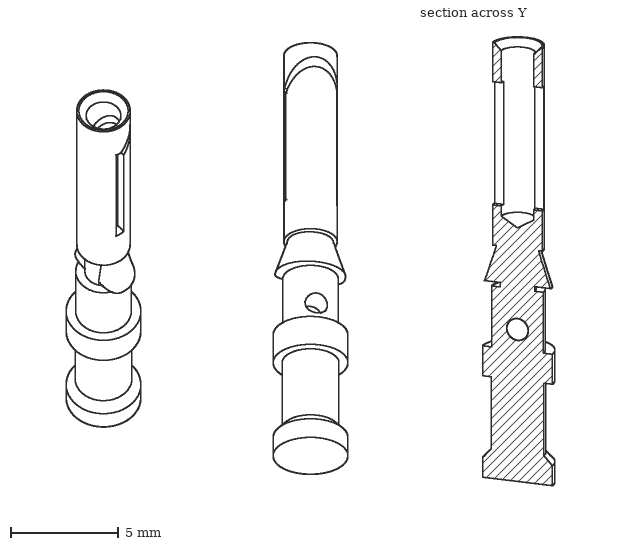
import cadquery as cq
import math

BASE_RIM_TOP = 1.0
BASE_CONE_TOP = 1.45
COLLAR_BOTTOM = 5.0
COLLAR_TOP = 6.5
BODY_TOP = 9.5
CLIP_BOTTOM = 9.7
NECK_TOP = 11.5
TOTAL_LENGTH = 21.5

FLANGE_RADIUS = 1.75
CRIMP_BARREL_RADIUS = 1.33
BODY_RADIUS = 1.3
NECK_RADIUS = 0.87
SOCKET_RADIUS = 1.25

BORE_RADIUS = 0.81
BORE_FLOOR = 13.0
DRILL_POINT_ANGLE = 118.0
LEAD_IN_RADIUS = 1.15
LEAD_IN_DEPTH = 0.35

SLOT_WIDTH = 0.45
SLOT_BOTTOM = 13.5
SLOT_TOP = 19.55
SLANT_RISE = 0.52
SLANT_UPPER_EXIT = 20.75

CLIP_TOP_HALF_X = 1.07
CLIP_TOP_BACK_Y = 0.95
CLIP_TOP_FLAT_Y = -0.62
CLIP_BOTTOM_HALF_X = 1.66
CLIP_BOTTOM_BACK_Y = 1.33
CLIP_BOTTOM_FLAT_Y = -0.71
CLIP_FLAT_EXPONENT = 3.5
CLIP_OUTLINE_STEPS = 24

INSPECTION_RADIUS = 0.53
INSPECTION_HEIGHT = 7.5

CUT_MARGIN = 1.0


def turned_body():
    """Revolve the stepped outer profile about the Z axis."""
    profile = [
        (0, 0),
        (FLANGE_RADIUS, 0),
        (FLANGE_RADIUS, BASE_RIM_TOP),
        (CRIMP_BARREL_RADIUS, BASE_CONE_TOP),
        (CRIMP_BARREL_RADIUS, COLLAR_BOTTOM),
        (FLANGE_RADIUS, COLLAR_BOTTOM),
        (FLANGE_RADIUS, COLLAR_TOP),
        (BODY_RADIUS, COLLAR_TOP),
        (BODY_RADIUS, BODY_TOP),
        (NECK_RADIUS, BODY_TOP),
        (NECK_RADIUS, NECK_TOP),
        (SOCKET_RADIUS, NECK_TOP),
        (SOCKET_RADIUS, TOTAL_LENGTH),
        (0, TOTAL_LENGTH),
    ]
    return cq.Workplane("XZ").polyline(profile).close().revolve(360, (0, 0), (0, 1))


def socket_bore():
    """Cutter for the bore, its lead-in cone and its drill point."""
    point_depth = BORE_RADIUS / math.tan(math.radians(DRILL_POINT_ANGLE / 2))
    profile = [
        (0, BORE_FLOOR - point_depth),
        (BORE_RADIUS, BORE_FLOOR),
        (BORE_RADIUS, TOTAL_LENGTH - LEAD_IN_DEPTH),
        (LEAD_IN_RADIUS, TOTAL_LENGTH),
        (0, TOTAL_LENGTH),
    ]
    return cq.Workplane("XZ").polyline(profile).close().revolve(360, (0, 0), (0, 1))


def spring_slot():
    """Cutter for the bent slot, passing through both walls along X."""
    half_width = SLOT_WIDTH / 2
    outer_y = SOCKET_RADIUS + CUT_MARGIN
    upper_outer_z = SLANT_UPPER_EXIT + CUT_MARGIN
    lower_outer_z = upper_outer_z - SLANT_RISE
    upper_bend_y = outer_y - (upper_outer_z - SLOT_TOP)
    lower_bend_z = lower_outer_z - (outer_y - half_width)
    outline = [
        (-half_width, SLOT_BOTTOM),
        (half_width, SLOT_BOTTOM),
        (half_width, lower_bend_z),
        (outer_y, lower_outer_z),
        (outer_y, upper_outer_z),
        (upper_bend_y, SLOT_TOP),
        (-half_width, SLOT_TOP),
    ]
    return cq.Workplane("YZ").polyline(outline).close().extrude(outer_y, both=True)


def clip_outline(half_x, back_y, flat_y):
    """Points round one clip section: a half ellipse towards +Y and a squarer half towards -Y."""
    points = []
    for step in range(CLIP_OUTLINE_STEPS):
        angle = 2 * math.pi * step / CLIP_OUTLINE_STEPS
        cosine = math.cos(angle)
        sine = math.sin(angle)
        exponent = 2.0 if sine >= 0 else CLIP_FLAT_EXPONENT
        reach_y = back_y if sine >= 0 else -flat_y
        x = math.copysign(half_x * abs(cosine) ** (2 / exponent), cosine)
        y = math.copysign(reach_y * abs(sine) ** (2 / exponent), sine)
        points.append((x, y))
    return points


def locking_clip():
    """Cone that widens downward from the socket shoulder, with a flattened -Y side."""
    bottom = clip_outline(CLIP_BOTTOM_HALF_X, CLIP_BOTTOM_BACK_Y, CLIP_BOTTOM_FLAT_Y)
    top = clip_outline(CLIP_TOP_HALF_X, CLIP_TOP_BACK_Y, CLIP_TOP_FLAT_Y)
    return (
        cq.Workplane("XY", origin=(0, 0, CLIP_BOTTOM))
        .spline(bottom, periodic=True)
        .wire()
        .workplane(offset=NECK_TOP - CLIP_BOTTOM)
        .spline(top, periodic=True)
        .wire()
        .loft(ruled=True)
    )


def inspection_hole():
    """Cutter for the radial hole from the +Y side to the axis."""
    hole = cq.Workplane("XZ", origin=(0, 0, INSPECTION_HEIGHT)).circle(INSPECTION_RADIUS)
    return hole.extrude(-(BODY_RADIUS + CUT_MARGIN))


result = (
    turned_body()
    .union(locking_clip())
    .cut(socket_bore())
    .cut(spring_slot())
    .cut(inspection_hole())
)